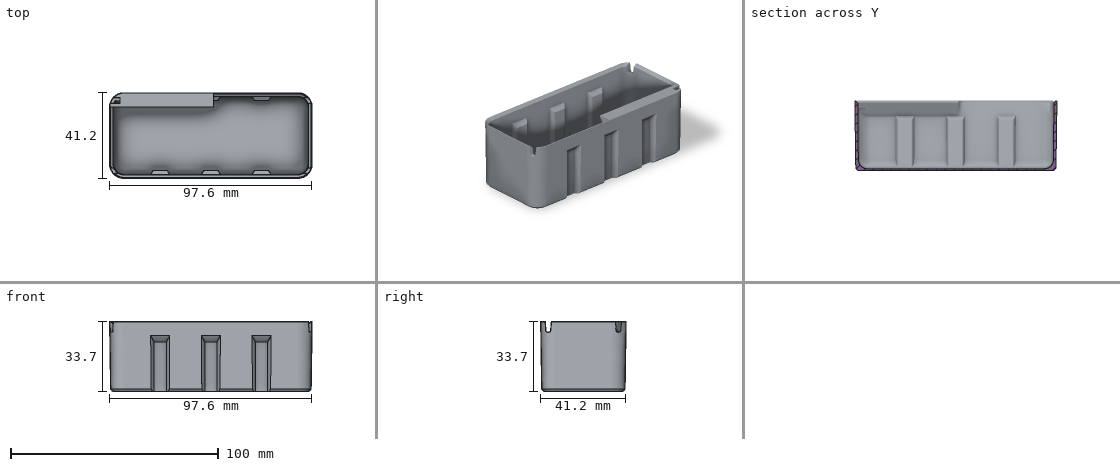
import cadquery as cq
import math

LENGTH = 97.6
WIDTH = 41.2
HEIGHT = 33.7
CORNER_RADIUS = 6.9
DRAFT = 0.86
BASE_CHAMFER = 1.2
BEVEL_ANGLE = 45

RIM_FLAT = 0.5
RIM_CHAMFER = 1.2
CAVITY_DRAFT = 0.5
FLOOR_THICKNESS = 1.0
FLOOR_FILLET = 4.2

GROOVE_COUNT = 3
GROOVE_PITCH = LENGTH / 4
GROOVE_MOUTH = 9.3
GROOVE_FLOOR = 5.9
GROOVE_DEPTH = 3.0
GROOVE_TOP = 27.0
RIB_SKIN = 0.8

SLOT_OFFSET = 16.9
SLOT_TOP_WIDTH = 2.9
SLOT_BOTTOM_WIDTH = 2.1
SLOT_DEPTH = 5.0
SLOT_LENGTH = 5.1
SLOT_FILLET = 0.75

LEDGE_END_X = 1.3
LEDGE_EDGE_Y = WIDTH / 2 - CORNER_RADIUS
LEDGE_LIP = 1.0
LEDGE_DROP = 10.2

DRAFT_SLOPE = math.tan(math.radians(DRAFT))


def rounded_slab(inset, z):
    """Rounded rectangle at height z, offset inward from the rim outline."""
    return (
        cq.Workplane("XY", origin=(0, 0, z))
        .sketch()
        .rect(LENGTH - 2 * inset, WIDTH - 2 * inset)
        .vertices()
        .fillet(CORNER_RADIUS - inset)
        .finalize()
    )


def make_envelope():
    """Solid outer form: drafted walls above a chamfered base."""
    wall_height = HEIGHT - BASE_CHAMFER
    walls = rounded_slab(0, HEIGHT).extrude(-wall_height, taper=DRAFT)
    base = rounded_slab(wall_height * DRAFT_SLOPE, BASE_CHAMFER).extrude(-BASE_CHAMFER, taper=BEVEL_ANGLE)
    return walls.union(base)


def make_cavity():
    """Hollow interior: bevelled rim, drafted walls, rounded floor edge."""
    bevel = rounded_slab(RIM_FLAT, HEIGHT).extrude(-RIM_CHAMFER, taper=BEVEL_ANGLE)
    well_top = HEIGHT - RIM_CHAMFER
    well = (
        rounded_slab(RIM_FLAT + RIM_CHAMFER, well_top)
        .extrude(-(well_top - FLOOR_THICKNESS), taper=CAVITY_DRAFT)
        .faces("<Z")
        .edges()
        .fillet(FLOOR_FILLET)
    )
    return well.union(bevel)


def groove_form(skin):
    """Tapered channel at the front wall, grown outward all round by skin."""
    wall_y = -WIDTH / 2
    floor_y = wall_y + GROOVE_DEPTH
    side_slope = (GROOVE_MOUTH - GROOVE_FLOOR) / 2 / GROOVE_DEPTH
    overrun = 5.0
    outer_half = GROOVE_MOUTH / 2 + side_slope * overrun
    section = cq.Workplane("XY").polyline([
        (-outer_half, wall_y - overrun),
        (outer_half, wall_y - overrun),
        (GROOVE_FLOOR / 2, floor_y),
        (-GROOVE_FLOOR / 2, floor_y),
    ]).close()
    if skin:
        section = section.offset2D(skin, "arc")
    channel = section.extrude(HEIGHT)

    roof_z = GROOVE_TOP + skin * math.sqrt(2)
    roof = (
        cq.Workplane("YZ")
        .polyline([
            (wall_y - 2 * overrun, roof_z + 2 * overrun),
            (0, roof_z + wall_y),
            (0, 0),
            (wall_y - 2 * overrun, 0),
        ])
        .close()
        .extrude(LENGTH / 2, both=True)
    )
    return channel.intersect(roof)


def on_long_walls(form):
    """Copies of a front-wall form at every groove place on both long walls."""
    copies = []
    for index in range(GROOVE_COUNT):
        x = (index - (GROOVE_COUNT - 1) / 2) * GROOVE_PITCH
        front = form.translate((x, 0, 0))
        copies.append(front)
        copies.append(front.mirror("XZ"))
    return copies


def make_ledge():
    """Flat ledge along the back wall, its underside sloping steeply down to the wall."""
    back_y = WIDTH / 2
    return (
        cq.Workplane("YZ", origin=(-LENGTH / 2, 0, 0))
        .polyline([
            (LEDGE_EDGE_Y, HEIGHT),
            (back_y, HEIGHT),
            (back_y, HEIGHT - LEDGE_DROP),
            (LEDGE_EDGE_Y, HEIGHT - LEDGE_LIP),
        ])
        .close()
        .extrude(LENGTH / 2 + LEDGE_END_X)
    )


def make_slot(x_start, y):
    """Tapered slot with rounded bottom edges, running along X."""
    bottom_z = HEIGHT - SLOT_DEPTH
    return (
        cq.Workplane("YZ", origin=(x_start, y, 0))
        .polyline([
            (-SLOT_TOP_WIDTH / 2, HEIGHT),
            (SLOT_TOP_WIDTH / 2, HEIGHT),
            (SLOT_BOTTOM_WIDTH / 2, bottom_z),
            (-SLOT_BOTTOM_WIDTH / 2, bottom_z),
        ])
        .close()
        .extrude(SLOT_LENGTH)
        .faces("<Z")
        .edges("|X")
        .fillet(SLOT_FILLET)
    )


envelope = make_envelope()
result = envelope.cut(make_cavity())

for rib in on_long_walls(groove_form(RIB_SKIN)):
    result = result.union(rib.intersect(envelope))

result = result.union(make_ledge().intersect(envelope))

for groove in on_long_walls(groove_form(0)):
    result = result.cut(groove)

for slot_start in (-LENGTH / 2, LENGTH / 2 - SLOT_LENGTH):
    for slot_y in (-SLOT_OFFSET, SLOT_OFFSET):
        result = result.cut(make_slot(slot_start, slot_y))